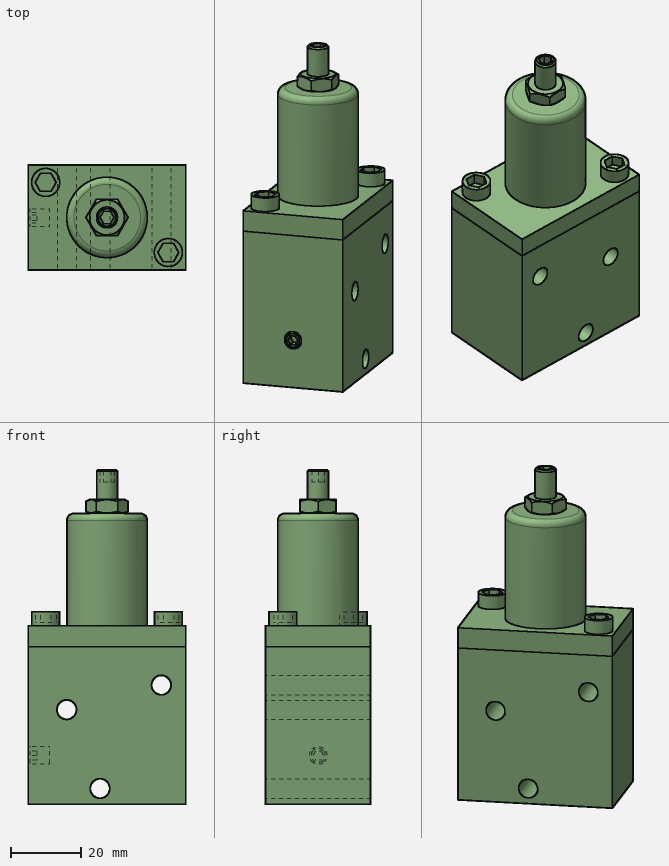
import cadquery as cq
import math

block_length = 45.0
block_width = 30.0
block_height = 45.0
cross_hole_diameter = 5.5
cross_hole_positions = [(-11.5, 27.0), (15.5, 34.0), (-2.0, 4.5)]

plate_thickness = 6.0
plate_top = block_height + plate_thickness
housing_diameter = 23.0
housing_height = 32.0
housing_top = plate_top + housing_height
housing_edge_radius = 2.0

cap_head_diameter = 8.0
cap_head_height = 4.0
cap_socket_corners = 6.0
cap_socket_depth = 3.0
cap_head_x = 17.5
cap_head_y = 10.0

nut_corner_diameter = 12.0
nut_end_diameter = 10.0
nut_height = 4.0
nut_chamfer_angle = math.radians(30)
stud_diameter = 6.0
stud_top = 95.49
stud_chamfer = 0.5
stud_socket_corners = 4.0
stud_socket_depth = 3.5

plug_diameter = 5.0
plug_length = 6.0
plug_height = 14.0
plug_chamfer = 0.5
plug_socket_corners = 3.0
plug_socket_depth = 2.5


def cylinder(diameter, bottom, height):
    """Upright cylinder on the Z axis."""
    return cq.Workplane("XY").workplane(offset=bottom).circle(diameter / 2).extrude(height)


def hexagon(corner_diameter, bottom, height):
    """Upright hexagonal prism on the Z axis, with two corners on the X axis."""
    return cq.Workplane("XY").workplane(offset=bottom).polygon(6, corner_diameter).extrude(height)


def socket_screw(diameter, chamfer, bottom, height, socket_corners, socket_depth):
    """Headless screw with a chamfered top end and a hexagon socket in it."""
    body = cylinder(diameter, bottom, height).faces(">Z").chamfer(chamfer)
    return body.cut(hexagon(socket_corners, bottom + height - socket_depth, socket_depth))


def make_block():
    block = cq.Workplane("XY").box(block_length, block_width, block_height, centered=(True, True, False))
    cross_holes = (
        cq.Workplane("XZ")
        .pushPoints(cross_hole_positions)
        .circle(cross_hole_diameter / 2)
        .extrude(block_width / 2, both=True)
    )
    plug_hole = (
        cq.Workplane("YZ", origin=(-block_length / 2, 0, plug_height))
        .circle(plug_diameter / 2)
        .extrude(plug_length)
    )
    return block.cut(cross_holes).cut(plug_hole)


def make_cap_head():
    head = cylinder(cap_head_diameter, plate_top, cap_head_height)
    socket_bottom = plate_top + cap_head_height - cap_socket_depth
    return head.cut(hexagon(cap_socket_corners, socket_bottom, cap_socket_depth))


def make_nut():
    """Hexagon nut whose corners are turned down to a cone at both ends."""
    corner_radius = nut_corner_diameter / 2
    end_radius = nut_end_diameter / 2
    corner_drop = (corner_radius - end_radius) * math.tan(nut_chamfer_angle)
    turned_blank = (
        cq.Workplane("XZ", origin=(0, 0, housing_top))
        .moveTo(0, 0)
        .lineTo(end_radius, 0)
        .lineTo(corner_radius, corner_drop)
        .lineTo(corner_radius, nut_height - corner_drop)
        .lineTo(end_radius, nut_height)
        .lineTo(0, nut_height)
        .close()
        .revolve(360, (0, 0, 0), (0, 1, 0))
    )
    return hexagon(nut_corner_diameter, housing_top, nut_height).intersect(turned_blank)


def make_cover():
    """Plate, spring housing, cap screw heads, lock nut and adjusting stud in one piece."""
    cover = cq.Workplane("XY").box(block_length, block_width, plate_thickness, centered=(True, True, False))
    cover = cover.translate((0, 0, block_height))
    housing = cylinder(housing_diameter, plate_top, housing_height)
    cover = cover.union(housing.faces(">Z").edges().fillet(housing_edge_radius))
    for x, y in [(-cap_head_x, cap_head_y), (cap_head_x, -cap_head_y)]:
        cover = cover.union(make_cap_head().translate((x, y, 0)))
    stud = socket_screw(
        stud_diameter, stud_chamfer, housing_top, stud_top - housing_top, stud_socket_corners, stud_socket_depth
    )
    return cover.union(make_nut()).union(stud)


def make_plug():
    """Plug screw with its socket end facing -X."""
    plug = socket_screw(
        plug_diameter, plug_chamfer, -plug_length, plug_length, plug_socket_corners, plug_socket_depth
    )
    plug = plug.rotate((0, 0, 0), (0, 0, 1), 90)
    plug = plug.rotate((0, 0, 0), (0, 1, 0), -90)
    return plug.translate((-block_length / 2, 0, plug_height))


block = make_block()
cover = make_cover()
plug = make_plug()

result = cq.Compound.makeCompound([block.val(), cover.val(), plug.val()])